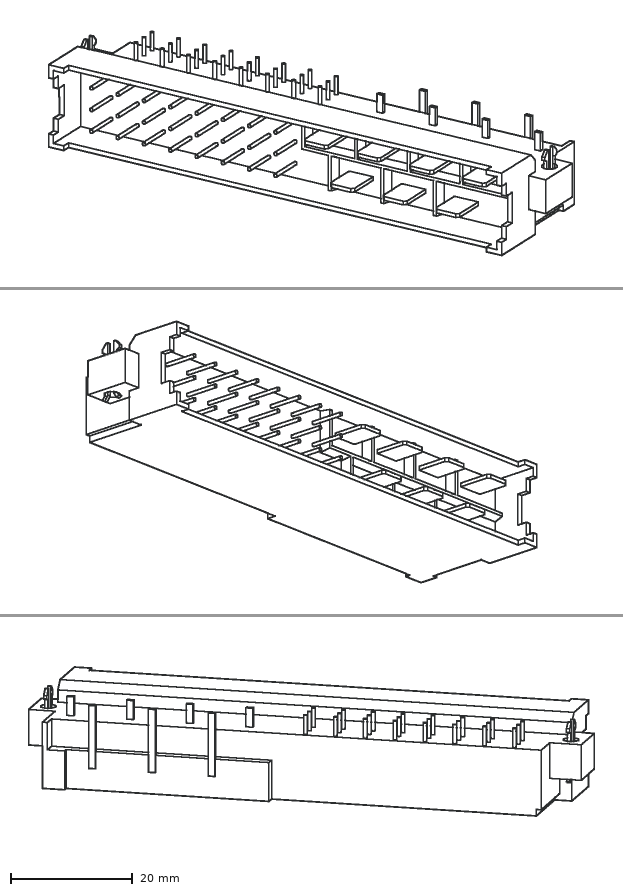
import cadquery as cq
import math

overall_length = 93.95
overall_depth = 24.7
shroud_height = 14.7
pitch = 5.1
row_step = pitch / 2
contact_top = 14.4

shroud_length = 87.4
shroud_right = shroud_length / 2
shroud_left = -shroud_right
shroud_depth = 10.5
shroud_chamfer = 1.4
wall = 0.8
end_wall = 0.9
cavity_depth = 8.5
lip_setback = 1.5
post_width = 2.9
outer_notch_height = 10.0
inner_notch_height = 5.45
inner_notch_depth = 3.4

body_left = -41.6
body_right = 42.5
body_top = 11.2
body_back = 22.1
base_height = 1.1
base_inset = wall

rear_left = 4.2
rear_height = 6.6
rear_right = body_right - wall
rear_foot_left = 38.7
rear_foot_back = overall_depth

flange_front = 8.5
flange_back = 16.7
flange_bottom = 5.2
hole_diameter = 2.5
hole_y = 13.7
hole_spacing = 88.9
hole_xs = (-hole_spacing / 2, hole_spacing / 2)
clip_width = 0.6
clip_inner = 0.7
clip_outer = 1.3
clip_barb = 1.9
clip_tip = 0.4
clip_barb_low = 12.9
clip_barb_high = 13.4
clip_foot = 4.2

mid_z = shroud_height / 2
pin_diameter = 0.6
pin_row_step = 3.85
pin_columns = 8
first_pin_x = -36.8
tip_y = 2.3
first_tail_y = 16.2
blade_width = 4.6
blade_thickness = 0.7
blade_corner = 0.5
tail_width = 1.1
blade_step = 2 * pitch
blade_row_offset = 3.3
first_blade_x = first_pin_x + (pin_columns + 0.5) * pitch
upper_blade_z = mid_z + blade_row_offset
lower_blade_z = mid_z - blade_row_offset
upper_blades = [first_blade_x + i * blade_step for i in range(4)]
lower_blades = [first_blade_x + pitch + i * blade_step for i in range(3)]
upper_tail_y = first_tail_y + row_step
lower_tail_y = first_tail_y + 3 * row_step
rear_back = lower_tail_y

rib_base = 1.7
rib_crest = 0.6
rib_height = 1.6


def block(x0, x1, y0, y1, z0, z1):
    """Box given by its limits along each axis."""
    return cq.Workplane("XY").box(x1 - x0, y1 - y0, z1 - z0, centered=False).translate((x0, y0, z0))


def make_shroud():
    """Open-fronted shroud with corner posts and stepped notches in both end walls."""
    outer = block(shroud_left, shroud_right, 0, shroud_depth, 0, shroud_height)
    outer = outer.edges("|X and >Y and >Z").chamfer(shroud_chamfer)
    cavity = block(shroud_left + end_wall, shroud_right - end_wall, 0, cavity_depth, wall, shroud_height - wall)
    lip_gap = block(shroud_left + post_width, shroud_right - post_width, 0, lip_setback, 0, shroud_height)
    shroud = outer.cut(cavity).cut(lip_gap)
    for height, depth in ((outer_notch_height, lip_setback), (inner_notch_height, inner_notch_depth)):
        shroud = shroud.cut(
            block(shroud_left, shroud_right, 0, depth, mid_z - height / 2, mid_z + height / 2)
        )
    return shroud


def make_body():
    """Rear body on an inset base, with the housing and side wall behind it."""
    main = block(body_left, body_right, cavity_depth, body_back, base_height, body_top)
    base = block(body_left + base_inset, body_right - base_inset, cavity_depth, body_back, 0, base_height)
    rear = block(rear_left, rear_right, body_back, rear_back, 0, rear_height)
    foot = block(rear_foot_left, rear_right, body_back, rear_foot_back, 0, rear_height)
    side = block(rear_right, body_right, body_back - wall, rear_foot_back, 0, body_top)
    return main.union(base).union(rear).union(foot).union(side)


def make_flange():
    """Flange bar and the round cutters for its mounting holes."""
    half = overall_length / 2
    flange = block(-half, half, flange_front, flange_back, flange_bottom, body_top)
    centres = [(x, hole_y) for x in hole_xs]
    holes = cq.Workplane("XY").pushPoints(centres).circle(hole_diameter / 2).extrude(shroud_height)
    return flange, holes


def make_clip(x):
    """Pair of mirrored barbed prongs standing in a flange hole."""
    slant = (clip_barb - clip_outer) / 2
    prong = (
        cq.Workplane("YZ")
        .moveTo(clip_inner, contact_top)
        .lineTo(clip_inner, flange_bottom)
        .lineTo(clip_outer, clip_foot)
        .lineTo(clip_barb, clip_foot + slant)
        .lineTo(clip_outer, flange_bottom)
        .lineTo(clip_outer, clip_barb_low - slant)
        .lineTo(clip_barb, clip_barb_low)
        .lineTo(clip_barb, clip_barb_high)
        .lineTo(clip_inner + clip_tip, contact_top)
        .close()
        .extrude(clip_width / 2, both=True)
    )
    return prong.union(prong.mirror("XZ")).translate((x, hole_y, 0))


def make_rib(x0, x1, z0, z1):
    """Rib on the cavity floor with the given base outline, all four sides drafted toward its crest."""
    draft = math.degrees(math.atan2((rib_base - rib_crest) / 2, rib_height))
    return (
        cq.Workplane("XZ", origin=((x0 + x1) / 2, cavity_depth, (z0 + z1) / 2))
        .rect(x1 - x0, z1 - z0)
        .extrude(rib_height, taper=draft)
    )


def make_ribs():
    """One long rib between the two blade rows, and one upright rib left of each blade."""
    half_base = rib_base / 2
    rib_start = upper_blades[0] - pitch - half_base
    ribs = make_rib(rib_start, shroud_right, mid_z - half_base, mid_z + half_base)
    for blade_row, bottom, top in (
        (upper_blades, mid_z - half_base, shroud_height),
        (lower_blades, 0, mid_z + half_base),
    ):
        for blade_x in blade_row:
            rib_x = blade_x - pitch
            ribs = ribs.union(make_rib(rib_x - half_base, rib_x + half_base, bottom, top))
    return ribs


def make_pins():
    """Round signal contacts: tips inside the shroud and tails standing on the body."""
    columns = [first_pin_x + i * pitch for i in range(pin_columns)]
    tips = [(x, mid_z + row * pin_row_step) for x in columns for row in (-1, 0, 1)]
    tails = [(x, first_tail_y + row * row_step) for x in columns for row in range(3)]
    front = cq.Workplane("XZ", origin=(0, shroud_depth, 0)).pushPoints(tips)
    front = front.circle(pin_diameter / 2).extrude(shroud_depth - tip_y)
    upright = cq.Workplane("XY", origin=(0, 0, mid_z)).pushPoints(tails)
    upright = upright.circle(pin_diameter / 2).extrude(contact_top - mid_z)
    return front.union(upright)


def make_blade(x, z, tail_y):
    """Flat blade with clipped front corners and an upright tail offset toward +X."""
    half_thickness = blade_thickness / 2
    blade = block(
        x - blade_width / 2, x + blade_width / 2, tip_y, shroud_depth, z - half_thickness, z + half_thickness
    )
    blade = blade.edges("|Z and <Y").chamfer(blade_corner)
    tail_x = x + row_step
    tail = block(
        tail_x - tail_width / 2, tail_x + tail_width / 2,
        tail_y - half_thickness, tail_y + half_thickness,
        z - half_thickness, contact_top,
    )
    return blade.union(tail)


flange, holes = make_flange()
result = make_body().union(flange).cut(holes).union(make_shroud()).union(make_ribs()).union(make_pins())
for hole_x in hole_xs:
    result = result.union(make_clip(hole_x))
for blade_x in upper_blades:
    result = result.union(make_blade(blade_x, upper_blade_z, upper_tail_y))
for blade_x in lower_blades:
    result = result.union(make_blade(blade_x, lower_blade_z, lower_tail_y))